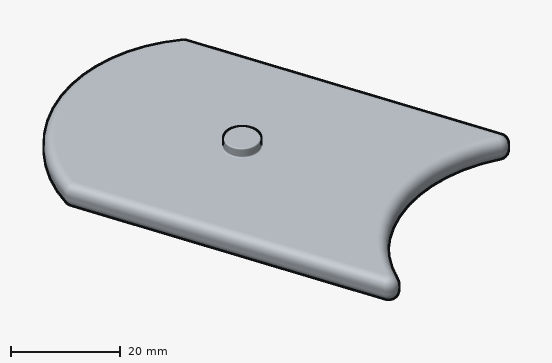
import cadquery as cq
import math

length = 79.75
width = 50.0
thickness = 5.0
edge_radius = 2.0
end_radius = 30.0

boss_diameter = 7.0
boss_height = 2.0
boss_fillet = 0.2
boss_x = 37.0

face_half_width = width / 2 - edge_radius
face_tip_x = edge_radius
face_right_x = length - edge_radius


def arc_depth(radius):
    """Depth of an arc that spans the full width of the flat face."""
    return radius - math.sqrt(radius**2 - face_half_width**2)


def make_plate():
    """Plate with a convex end, a concave end and a rounded rim."""
    left_corner_x = face_tip_x + arc_depth(end_radius - edge_radius)
    notch_x = face_right_x - arc_depth(end_radius + edge_radius)
    return (
        cq.Workplane("XY")
        .moveTo(left_corner_x, -face_half_width)
        .lineTo(face_right_x, -face_half_width)
        .threePointArc((notch_x, 0), (face_right_x, face_half_width))
        .lineTo(left_corner_x, face_half_width)
        .threePointArc((face_tip_x, 0), (left_corner_x, -face_half_width))
        .close()
        .offset2D(edge_radius, "arc")
        .extrude(thickness)
        .faces("|Z")
        .edges()
        .fillet(edge_radius)
    )


def add_boss(plate):
    """Round boss on the top face, filleted at its foot and its rim."""
    boss = (
        cq.Workplane("XY", origin=(boss_x, 0, thickness))
        .circle(boss_diameter / 2)
        .extrude(boss_height)
    )
    return (
        plate.union(boss)
        .faces(">Z or >Z[-2]")
        .edges("%CIRCLE")
        .edges(cq.selectors.RadiusNthSelector(0))
        .fillet(boss_fillet)
    )


result = add_boss(make_plate())